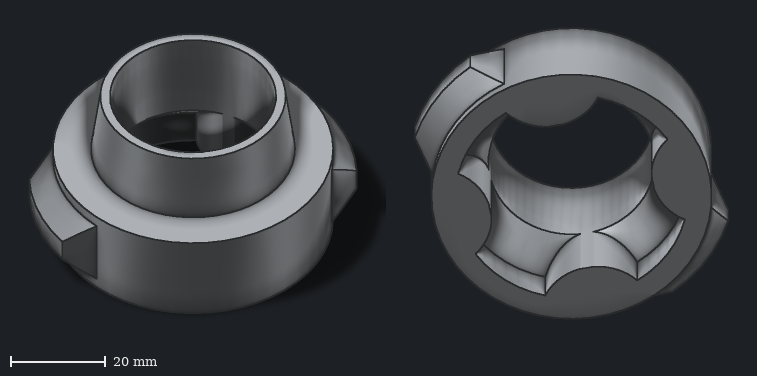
import cadquery as cq
import math

ring_diameter = 59.0
ring_height = 20.0
total_height = 35.0
bore_diameter = 35.0
collar_base_diameter = 43.0
collar_top_diameter = 39.0

lug_reach = 34.5
lug_bottom = 2.5
lug_height = 15.0
lug_root_half_width = 13.4
lug_root_y = 26.2
lug_tip_half_width = 10.35
lug_root_radius = 24.15

recess_height = 15.0
recess_diameter = 49.0
post_radius = 12.15
first_post_angle = 45
post_count = 4

ring_radius = ring_diameter / 2


def make_body():
    ring = cq.Workplane("XY").circle(ring_radius).extrude(ring_height)
    collar = (
        cq.Workplane("XY")
        .workplane(offset=ring_height)
        .circle(collar_base_diameter / 2)
        .workplane(offset=total_height - ring_height)
        .circle(collar_top_diameter / 2)
        .loft(ruled=True)
    )
    return ring.union(collar)


def make_lugs():
    """Revolved band with 45 degree flanks, trimmed to a tapered outline on each side."""
    bevel = lug_reach - ring_radius
    lug_top = lug_bottom + lug_height
    band = (
        cq.Workplane("XZ")
        .moveTo(lug_root_radius, lug_bottom)
        .lineTo(ring_radius, lug_bottom)
        .lineTo(lug_reach, lug_bottom + bevel)
        .lineTo(lug_reach, lug_top - bevel)
        .lineTo(ring_radius, lug_top)
        .lineTo(lug_root_radius, lug_top)
        .close()
        .revolve(360, (0, 0, 0), (0, 1, 0))
    )
    tip_y = math.sqrt(lug_reach**2 - lug_tip_half_width**2)
    taper = (lug_root_half_width - lug_tip_half_width) / (tip_y - lug_root_y)
    end_half_width = lug_tip_half_width - taper * (lug_reach - tip_y)
    outline = (
        cq.Workplane("XY")
        .polyline(
            [
                (-lug_root_half_width, lug_root_y),
                (lug_root_half_width, lug_root_y),
                (end_half_width, lug_reach),
                (-end_half_width, lug_reach),
            ]
        )
        .close()
        .extrude(ring_height)
    )
    outlines = outline.union(outline.mirror("XZ"))
    return band.intersect(outlines)


def make_recess():
    """Recess with a 45 degree conical roof and rounded posts left standing on the diagonals."""
    bore_radius = bore_diameter / 2
    recess_radius = recess_diameter / 2
    wall_height = recess_height - (recess_radius - bore_radius)
    recess = (
        cq.Workplane("XZ")
        .lineTo(recess_radius, 0)
        .lineTo(recess_radius, wall_height)
        .lineTo(bore_radius, recess_height)
        .lineTo(0, recess_height)
        .close()
        .revolve(360, (0, 0, 0), (0, 1, 0))
    )
    posts = (
        cq.Workplane("XY")
        .polarArray(ring_radius, first_post_angle, 360, post_count)
        .circle(post_radius)
        .extrude(recess_height)
    )
    return recess.cut(posts)


bore = cq.Workplane("XY").circle(bore_diameter / 2).extrude(total_height)
result = make_body().union(make_lugs()).cut(make_recess()).cut(bore)